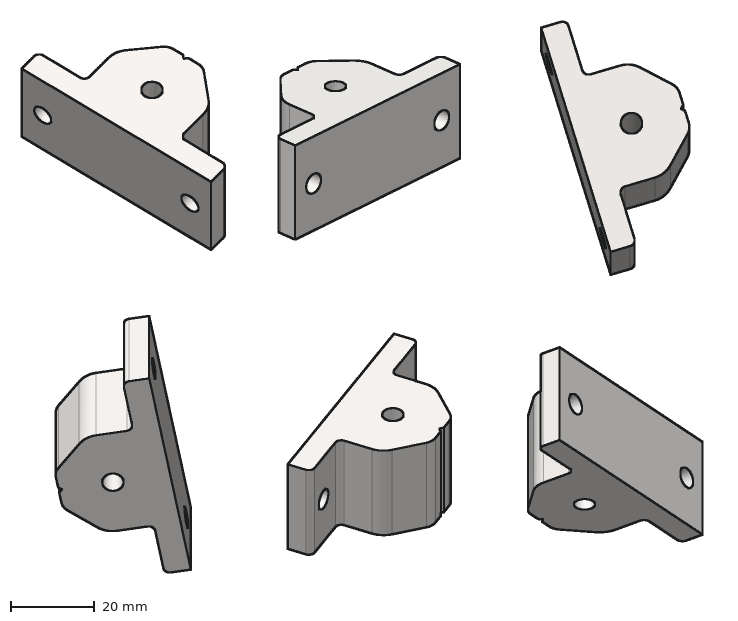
import cadquery as cq

length = 57.15
height = 25.4
flange_thickness = 6.4
corner_radius = 1.55
screw_hole_diameter = 5.15
screw_hole_spacing = 44.4

depth = 27.0
boss_width = 28.6
chamfer_size = 9.05
shoulder_radius = 6.3
crown_radius = 3.8
root_radius = 1.55
bore_diameter = 5.1
bore_y = 13.85

groove_width = 1.6
groove_depth = 0.8


def round_vertical_edges(body, points, radius):
    """Fillet the full-height edges that pass through the given XY points."""
    for x, y in points:
        edge = cq.selectors.NearestToPointSelector((x, y, height / 2))
        body = body.edges("|Z").edges(edge).fillet(radius)
    return body


def mirrored(x, y):
    return [(-x, y), (x, y)]


def make_body():
    half_length = length / 2
    half_boss = boss_width / 2
    half_crown = half_boss - chamfer_size
    shoulder_y = depth - chamfer_size
    right_side = [
        (half_length, 0),
        (half_length, flange_thickness),
        (half_boss, flange_thickness),
        (half_boss, shoulder_y),
        (half_crown, depth),
    ]
    left_side = [(-x, y) for x, y in reversed(right_side)]
    body = cq.Workplane("XY").polyline(right_side + left_side).close().extrude(height)
    body = round_vertical_edges(body, mirrored(half_length, flange_thickness), corner_radius)
    body = round_vertical_edges(body, mirrored(half_boss, flange_thickness), root_radius)
    body = round_vertical_edges(body, mirrored(half_boss, shoulder_y), shoulder_radius)
    return round_vertical_edges(body, mirrored(half_crown, depth), crown_radius)


def make_screw_holes():
    return (
        cq.Workplane("XZ")
        .pushPoints(mirrored(screw_hole_spacing / 2, height / 2))
        .circle(screw_hole_diameter / 2)
        .extrude(-depth)
    )


def make_bore():
    return cq.Workplane("XY").center(0, bore_y).circle(bore_diameter / 2).extrude(height)


def make_groove():
    half_width = groove_width / 2
    outline = [(-half_width, depth), (0, depth - groove_depth), (half_width, depth)]
    return cq.Workplane("XY").polyline(outline).close().extrude(height)


result = make_body().cut(make_screw_holes()).cut(make_bore()).cut(make_groove())